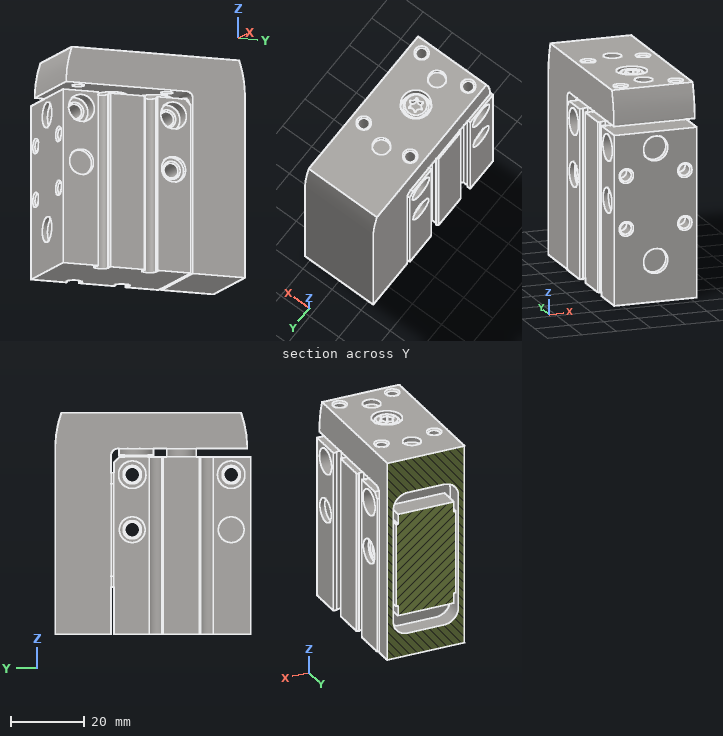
import cadquery as cq
import math

OVERALL_HEIGHT = 60.6
OVERALL_DEPTH = 53.5

HOUSING_WIDTH = 24.0
HOUSING_DEPTH = 37.45
HOUSING_HEIGHT = 48.5
HOUSING_CHAMFER = 1.5
MIDDLE_RELIEF = 0.3

GROOVE_MIDDLE = 19.0
GROOVE_PITCH = 14.05
GROOVE_MOUTH = 3.4
GROOVE_CHAMFER = 0.4
GROOVE_NECK_DEPTH = 1.0
GROOVE_WIDTH = 4.1
GROOVE_WALL_DEPTH = 2.5
GROOVE_BOTTOM_RADIUS = 2.3

UPPER_HOLE_Z = 43.65
ROW_PITCH = 15.0
LOWER_HOLE_Z = UPPER_HOLE_Z - ROW_PITCH
FRONT_HOLE_Y = 5.4
BACK_HOLE_Y = 32.4
MOUNT_BORE = 4.1
MOUNT_RIM = 5.0
DEEP_COUNTERBORE_DIAMETER = 7.5
DEEP_COUNTERBORE_DEPTH = 4.85
DOWEL_DIAMETER = 7.0
DOWEL_DEPTH = 1.5

FRONT_DOWEL_PITCH = 32.0
FRONT_THREAD_PITCH_X = 17.0
FRONT_THREAD_Z = 29.1
FRONT_THREAD_DEPTH = 4.25

THREAD_BORE = 3.2
THREAD_RIM = 4.1
DRILL_POINT_ANGLE = 118.0

ROD_Y = 18.95
ROD_DIAMETER = 8.1

BLOCK_BOTTOM = 12.9
BLOCK_TOP = 44.2
BLOCK_CAP_HEIGHT = 3.0
BLOCK_WIDTH = 18.2
BLOCK_CAP_WIDTH = 16.95

SLIDE_WIDTH = 23.5
SLIDE_FRONT_Y = 0.95
SLIDE_WALL_Y = 38.2
SLIDE_CEILING_Z = 50.7
SLIDE_CORNER_RADIUS = 1.8
CROWN_START_Z = 51.3
CROWN_INSET = 1.7
CROWN_RADIUS = 30.3

RECESS_WIDTH = 19.65
RECESS_TOP = 50.05
RECESS_DEPTH = 5.0
RECESS_CORNER_RADIUS = 4.25

BUMPER_Y = 31.3
BUMPER_DIAMETER = 9.5
BUMPER_BOTTOM = 48.95
BUMPER_STEM_DIAMETER = 6.5

TOP_HOLE_PITCH_X = 16.0
TOP_HOLE_FRONT_Y = 6.0
TOP_HOLE_BACK_Y = 32.0
TOP_DOWEL_FRONT_Y = 9.5
TOP_DOWEL_PITCH = 24.95
TOP_DOWEL_DIAMETER = 5.0
TOP_DOWEL_DEPTH = 1.5

SCREW_POCKET_DIAMETER = 8.5
SCREW_POCKET_DEPTH = 3.0
SCREW_HEAD_DIAMETER = 7.0
SCREW_HEAD_RECESS = 0.35
SCREW_HEAD_CHAMFER = 0.5
STAR_DIAMETER = 4.1
STAR_ROOT_DIAMETER = 2.9
STAR_SCALLOP_DIAMETER = 2.5
STAR_DEPTH = 2.4
STAR_POINTS = 6


def box(x_size, y_range, z_range):
    """Box centred on X = 0 between two Y and two Z positions."""
    y_size = y_range[1] - y_range[0]
    z_size = z_range[1] - z_range[0]
    return (
        cq.Workplane("XY")
        .box(x_size, y_size, z_size, centered=(True, False, False))
        .translate((0, y_range[0], z_range[0]))
    )


def cylinder(diameter, length, start, direction):
    """Cylinder from a start point along a direction."""
    solid = cq.Solid.makeCylinder(diameter / 2, length, cq.Vector(*start), cq.Vector(*direction))
    return cq.Workplane(obj=solid)


def cone(start_diameter, end_diameter, length, start, direction):
    """Tapered plug from a start point along a direction."""
    solid = cq.Solid.makeCone(
        start_diameter / 2, end_diameter / 2, length, cq.Vector(*start), cq.Vector(*direction)
    )
    return cq.Workplane(obj=solid)


def rimmed_hole(bore, rim, depth, start, direction):
    """Hole with a 45-degree chamfered rim at its start."""
    rim_depth = (rim - bore) / 2
    return cylinder(bore, depth, start, direction).union(cone(rim, bore, rim_depth, start, direction))


def drill_point(bore, start, direction):
    """Conical end of a drilled hole."""
    length = bore / 2 / math.tan(math.radians(DRILL_POINT_ANGLE / 2))
    return cone(bore, 0, length, start, direction)



def housing_blank():
    blank = box(HOUSING_WIDTH, (0, HOUSING_DEPTH), (0, HOUSING_HEIGHT))
    return blank.faces(">Y").edges(">Z").chamfer(HOUSING_CHAMFER)


def middle_panel_cut():
    """Relief between two grooves of the left side, with chamfered panel edges beside the grooves."""
    face_x = -HOUSING_WIDTH / 2
    panel_x = face_x + MIDDLE_RELIEF
    half_width = (GROOVE_PITCH - GROOVE_MOUTH) / 2
    return (
        cq.Workplane("XY")
        .moveTo(face_x, GROOVE_MIDDLE - half_width)
        .lineTo(panel_x + GROOVE_CHAMFER, GROOVE_MIDDLE - half_width)
        .lineTo(panel_x, GROOVE_MIDDLE - half_width + GROOVE_CHAMFER)
        .lineTo(panel_x, GROOVE_MIDDLE + half_width - GROOVE_CHAMFER)
        .lineTo(panel_x + GROOVE_CHAMFER, GROOVE_MIDDLE + half_width)
        .lineTo(face_x, GROOVE_MIDDLE + half_width)
        .close()
        .extrude(HOUSING_HEIGHT)
    )


def groove_cut(y):
    """Groove in the left side: narrow mouth, wider straight walls and a round bottom."""
    face_x = -HOUSING_WIDTH / 2
    neck_x = face_x + GROOVE_NECK_DEPTH
    wall_x = face_x + GROOVE_WALL_DEPTH
    half_mouth = GROOVE_MOUTH / 2
    half_width = GROOVE_WIDTH / 2
    return (
        cq.Workplane("XY")
        .moveTo(face_x, y - half_mouth)
        .lineTo(neck_x, y - half_mouth)
        .lineTo(neck_x, y - half_width)
        .lineTo(wall_x, y - half_width)
        .radiusArc((wall_x, y + half_width), -GROOVE_BOTTOM_RADIUS)
        .lineTo(neck_x, y + half_width)
        .lineTo(neck_x, y + half_mouth)
        .lineTo(face_x, y + half_mouth)
        .close()
        .extrude(HOUSING_HEIGHT)
    )


def sensor_grooves():
    """Grooves and relieved panel of the left side, mirrored to the right side."""
    cuts = middle_panel_cut()
    for end in (-1, 1):
        cuts = cuts.union(groove_cut(GROOVE_MIDDLE + end * GROOVE_PITCH / 2))
    return cuts.union(cuts.mirror("YZ"))


def mounting_hole(y, z, counterbore_diameter, counterbore_depth):
    """Cross hole with a counterbore and a chamfered rim at both sides."""
    half_width = HOUSING_WIDTH / 2
    hole = cq.Workplane("XY")
    for side in (-1, 1):
        face = (side * half_width, y, z)
        shoulder_x = half_width - counterbore_depth
        inward = (-side, 0, 0)
        hole = hole.union(cylinder(counterbore_diameter, counterbore_depth, face, inward))
        hole = hole.union(rimmed_hole(MOUNT_BORE, MOUNT_RIM, shoulder_x, (side * shoulder_x, y, z), inward))
    return hole


def side_holes():
    holes = mounting_hole(BACK_HOLE_Y, LOWER_HOLE_Z, DOWEL_DIAMETER, DOWEL_DEPTH)
    for y in (FRONT_HOLE_Y, BACK_HOLE_Y):
        holes = holes.union(mounting_hole(y, UPPER_HOLE_Z, DEEP_COUNTERBORE_DIAMETER, DEEP_COUNTERBORE_DEPTH))
    for side in (-1, 1):
        face = (side * HOUSING_WIDTH / 2, FRONT_HOLE_Y, LOWER_HOLE_Z)
        holes = holes.union(cylinder(DOWEL_DIAMETER, DOWEL_DEPTH, face, (-side, 0, 0)))
    return holes


def front_holes():
    holes = cq.Workplane("XY")
    inward = (0, 1, 0)
    for z in (UPPER_HOLE_Z, UPPER_HOLE_Z - FRONT_DOWEL_PITCH):
        holes = holes.union(cylinder(DOWEL_DIAMETER, DOWEL_DEPTH, (0, 0, z), inward))
    for column in (-1, 1):
        for row in (-1, 1):
            x = column * FRONT_THREAD_PITCH_X / 2
            z = FRONT_THREAD_Z + row * ROW_PITCH / 2
            holes = holes.union(rimmed_hole(THREAD_BORE, THREAD_RIM, FRONT_THREAD_DEPTH, (x, 0, z), inward))
            holes = holes.union(drill_point(THREAD_BORE, (x, FRONT_THREAD_DEPTH, z), inward))
    return holes


def guide_block():
    """Block bridging the gap to the slide, with a narrower cap at each end."""
    y_range = (HOUSING_DEPTH, SLIDE_WALL_Y + RECESS_DEPTH)
    caps = box(BLOCK_CAP_WIDTH, y_range, (BLOCK_BOTTOM, BLOCK_TOP))
    core = box(BLOCK_WIDTH, y_range, (BLOCK_BOTTOM + BLOCK_CAP_HEIGHT, BLOCK_TOP - BLOCK_CAP_HEIGHT))
    return caps.union(core)


def piston_rod():
    length = SLIDE_CEILING_Z - HOUSING_HEIGHT
    return cylinder(ROD_DIAMETER, length, (0, ROD_Y, HOUSING_HEIGHT), (0, 0, 1))


def make_housing():
    body = housing_blank().cut(sensor_grooves()).cut(side_holes()).cut(front_holes())
    return body.union(guide_block()).union(piston_rod())



def slide_blank():
    """L-shaped slide whose front and back ends curve inwards towards the top."""
    profile = (
        cq.Workplane("YZ")
        .moveTo(SLIDE_WALL_Y, 0)
        .lineTo(OVERALL_DEPTH, 0)
        .lineTo(OVERALL_DEPTH, CROWN_START_Z)
        .radiusArc((OVERALL_DEPTH - CROWN_INSET, OVERALL_HEIGHT), -CROWN_RADIUS)
        .lineTo(SLIDE_FRONT_Y + CROWN_INSET, OVERALL_HEIGHT)
        .radiusArc((SLIDE_FRONT_Y, CROWN_START_Z), -CROWN_RADIUS)
        .lineTo(SLIDE_FRONT_Y, SLIDE_CEILING_Z)
        .lineTo(SLIDE_WALL_Y - SLIDE_CORNER_RADIUS, SLIDE_CEILING_Z)
        .radiusArc((SLIDE_WALL_Y, SLIDE_CEILING_Z - SLIDE_CORNER_RADIUS), SLIDE_CORNER_RADIUS)
        .close()
    )
    return profile.extrude(SLIDE_WIDTH / 2, both=True)


def guide_recess():
    """Round-cornered recess in the upright, centred on the guide block."""
    middle_z = (BLOCK_BOTTOM + BLOCK_TOP) / 2
    half_height = RECESS_TOP - middle_z
    y_range = (SLIDE_WALL_Y - SLIDE_CORNER_RADIUS, SLIDE_WALL_Y + RECESS_DEPTH)
    recess = box(RECESS_WIDTH, y_range, (middle_z - half_height, middle_z + half_height))
    return recess.edges("|Y").fillet(RECESS_CORNER_RADIUS)


def bumper():
    """Disc below the top plate on a thinner stem that rests on the housing."""
    down = (0, 0, -1)
    disc = cylinder(BUMPER_DIAMETER, SLIDE_CEILING_Z - BUMPER_BOTTOM, (0, BUMPER_Y, SLIDE_CEILING_Z), down)
    stem = cylinder(BUMPER_STEM_DIAMETER, BUMPER_BOTTOM - HOUSING_HEIGHT, (0, BUMPER_Y, BUMPER_BOTTOM), down)
    return disc.union(stem)


def top_holes():
    holes = cq.Workplane("XY")
    down = (0, 0, -1)
    plate_thickness = OVERALL_HEIGHT - SLIDE_CEILING_Z
    for y in (TOP_HOLE_FRONT_Y, TOP_HOLE_BACK_Y):
        for column in (-1, 1):
            start = (column * TOP_HOLE_PITCH_X / 2, y, OVERALL_HEIGHT)
            holes = holes.union(rimmed_hole(THREAD_BORE, THREAD_RIM, plate_thickness, start, down))
    for y in (TOP_DOWEL_FRONT_Y, TOP_DOWEL_FRONT_Y + TOP_DOWEL_PITCH):
        holes = holes.union(cylinder(TOP_DOWEL_DIAMETER, TOP_DOWEL_DEPTH, (0, y, OVERALL_HEIGHT), down))
    return holes


def star_socket(top_z):
    """Six-pointed driver socket: a round hole whose wall keeps six inward scallops."""
    down = (0, 0, -1)
    socket = cylinder(STAR_DIAMETER, STAR_DEPTH, (0, ROD_Y, top_z), down)
    scallop_radius = (STAR_ROOT_DIAMETER + STAR_SCALLOP_DIAMETER) / 2
    for index in range(STAR_POINTS):
        angle = 2 * math.pi * (index + 0.5) / STAR_POINTS
        x = scallop_radius * math.cos(angle)
        y = ROD_Y + scallop_radius * math.sin(angle)
        socket = socket.cut(cylinder(STAR_SCALLOP_DIAMETER, STAR_DEPTH, (x, y, top_z), down))
    return socket


def screw_pocket():
    return cylinder(SCREW_POCKET_DIAMETER, SCREW_POCKET_DEPTH, (0, ROD_Y, OVERALL_HEIGHT), (0, 0, -1))


def screw_head():
    head_top = OVERALL_HEIGHT - SCREW_HEAD_RECESS
    height = SCREW_POCKET_DEPTH - SCREW_HEAD_RECESS
    head = cylinder(SCREW_HEAD_DIAMETER, height, (0, ROD_Y, head_top), (0, 0, -1))
    return head.faces(">Z").edges().chamfer(SCREW_HEAD_CHAMFER).cut(star_socket(head_top))


def make_slide():
    body = slide_blank().cut(guide_recess()).cut(top_holes()).cut(screw_pocket())
    return body.union(screw_head()).union(bumper())


housing = make_housing()
slide = make_slide()
result = cq.Compound.makeCompound([housing.val(), slide.val()])